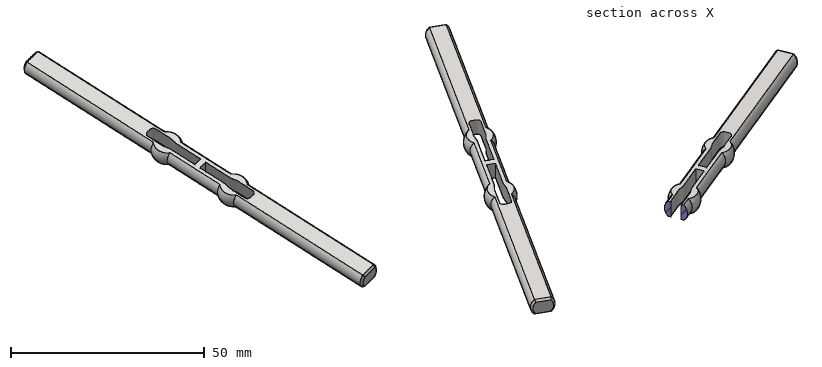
import cadquery as cq
LENGTH = 112.5
ROD_DIAMETER = 6.6
THICKNESS = 5.0
END_CHAMFER = 0.6

BULGE_DIAMETER = 8.5
BULGE_OFFSET = 11.0

WEB_THICKNESS = 1.7
SLOT_END = 17.1
SLOT_WIDE = 3.2
SLOT_NARROW = 2.4
SLOT_END_RADIUS = 1.0
TAPER_WIDE_END = BULGE_OFFSET
TAPER_LENGTH = 2.0


def flat_slab(length):
    """Slab between the two flats, wide enough to hold rod and bulges."""
    return cq.Workplane("XY").box(length, 2 * BULGE_DIAMETER, THICKNESS)


def rod():
    """Round bar trimmed to its flats, chamfered around both ends."""
    bar = cq.Workplane("YZ").circle(ROD_DIAMETER / 2).extrude(LENGTH / 2, both=True)
    return bar.intersect(flat_slab(LENGTH)).faces("<X or >X").chamfer(END_CHAMFER)


def bulge(x):
    """Sphere on the rod axis, trimmed to the flats."""
    ball = cq.Workplane("XY").sphere(BULGE_DIAMETER / 2).translate((x, 0, 0))
    return ball.intersect(flat_slab(LENGTH))


def slot():
    """Through slot on the +X side: narrow at the web, tapering out to a wide rounded end."""
    web_side = WEB_THICKNESS / 2
    taper_narrow_end = TAPER_WIDE_END - TAPER_LENGTH
    upper_edge = [
        (web_side, SLOT_NARROW / 2),
        (taper_narrow_end, SLOT_NARROW / 2),
        (TAPER_WIDE_END, SLOT_WIDE / 2),
        (SLOT_END, SLOT_WIDE / 2),
    ]
    lower_edge = [(x, -y) for x, y in reversed(upper_edge)]
    cutter = (
        cq.Workplane("XY")
        .polyline(upper_edge + lower_edge)
        .close()
        .extrude(THICKNESS, both=True)
    )
    return cutter.faces(">X").edges("|Z").fillet(SLOT_END_RADIUS)


result = rod()
for offset in (-BULGE_OFFSET, BULGE_OFFSET):
    result = result.union(bulge(offset))

right_slot = slot()
result = result.cut(right_slot).cut(right_slot.mirror("YZ"))